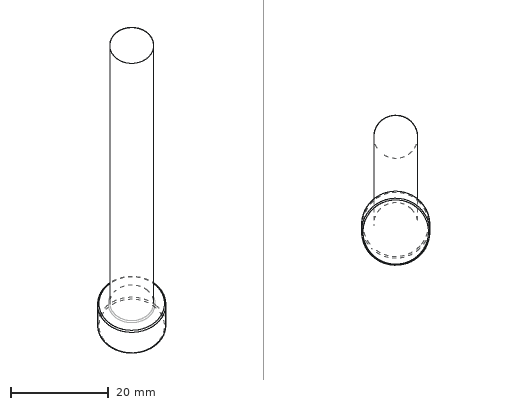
import cadquery as cq

total_length = 100.0
head_diameter = 14.0
head_height = 8.0
shank_diameter = 9.0
head_edge_chamfer = 0.3
neck_fillet = 0.3

head = (
    cq.Workplane("XY")
    .circle(head_diameter / 2)
    .extrude(head_height)
    .edges("%CIRCLE")
    .chamfer(head_edge_chamfer)
)

shank = cq.Workplane("XY").circle(shank_diameter / 2).extrude(total_length)

neck_corner = cq.selectors.RadiusNthSelector(0)
result = (
    head.union(shank)
    .faces(cq.selectors.NearestToPointSelector((0, 0, head_height)))
    .edges(neck_corner)
    .fillet(neck_fillet)
)